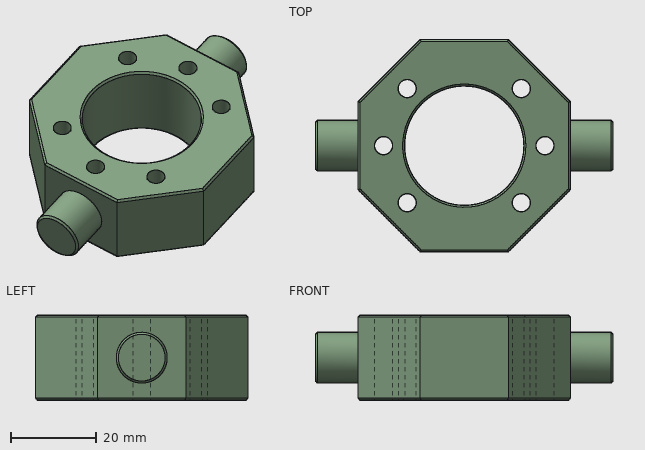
import cadquery as cq
import math

overall_length = 70.0
across_flats = 50.0
thickness = 20.0
edge_chamfer = 0.5
pin_diameter = 12.0
bore_diameter = 28.0
hole_diameter = 4.2
hole_circle_radius = 19.0
hole_angles = (0, 45, 135, 180, 225, 315)

half_side_angle = 180 / 8
across_corners = across_flats / math.cos(math.radians(half_side_angle))


def octagonal_body():
    """Octagonal block with flats square to X and Y, chamfered top and bottom."""
    return (
        cq.Workplane("XY")
        .polygon(8, across_corners)
        .extrude(thickness / 2, both=True)
        .rotate((0, 0, 0), (0, 0, 1), half_side_angle)
        .faces("<Z or >Z")
        .chamfer(edge_chamfer)
    )


def trunnion_bar():
    """Round bar along X whose two ends form the pins."""
    return (
        cq.Workplane("YZ")
        .circle(pin_diameter / 2)
        .extrude(overall_length / 2, both=True)
        .faces("<X or >X")
        .chamfer(edge_chamfer)
    )


def bore_cutter():
    """Central through bore, chamfered at both faces."""
    bore = cq.Workplane("XY").circle(bore_diameter / 2).extrude(thickness / 2, both=True)
    countersink = (
        cq.Workplane("XY")
        .workplane(offset=thickness / 2)
        .circle(bore_diameter / 2 + edge_chamfer)
        .workplane(offset=-edge_chamfer)
        .circle(bore_diameter / 2)
        .loft(ruled=True)
    )
    return bore.union(countersink).union(countersink.mirror("XY"))


def screw_hole_cutters():
    """Plain through holes on a circle around the bore."""
    centres = [
        (
            hole_circle_radius * math.cos(math.radians(angle)),
            hole_circle_radius * math.sin(math.radians(angle)),
        )
        for angle in hole_angles
    ]
    return (
        cq.Workplane("XY")
        .pushPoints(centres)
        .circle(hole_diameter / 2)
        .extrude(thickness / 2, both=True)
    )


result = (
    octagonal_body()
    .union(trunnion_bar())
    .cut(bore_cutter())
    .cut(screw_hole_cutters())
)